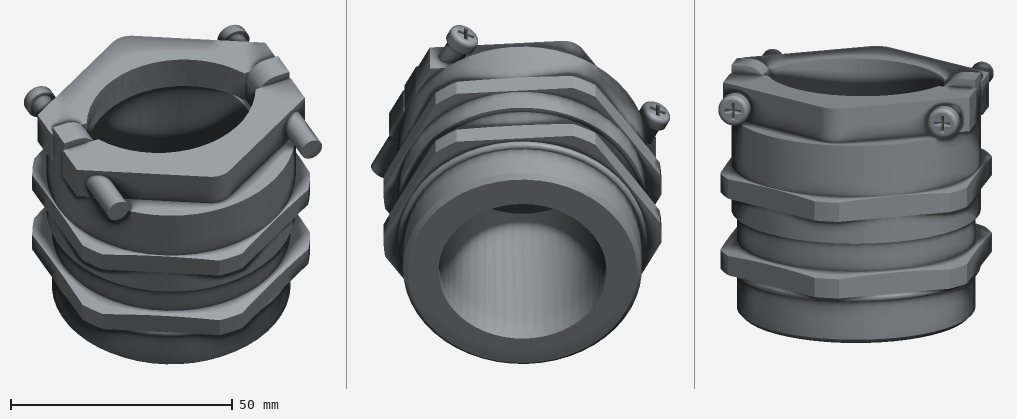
import cadquery as cq
import math

bore_radius = 19.0
lower_radius = 27.0
upper_radius = 28.2
bottom_chamfer = 1.1
upper_start_z = 24.0
sleeve_top_z = 47.0

collar_flats = 57.0
collar_corner_radius = 31.4
collar_side_height = 4.5
collar_chamfer_angle = 8.5
lower_collar_z = 12.0
upper_collar_z = 30.0

ring_section_radius = 1.0

clamp_height = 8.0
clamp_depth = collar_flats
clamp_end_half_width = 10.35
clamp_side_angle = 60.0
clamp_corner_fillet = 5.0
opening_half_width = 15.2
opening_arc_radius = 22.0

tab_width = 6.0
tab_rise = 2.0
tab_inner_y = 20.0
tab_outer_y = upper_radius
tab_round = 5.0

screw_y = 24.2
screw_height_on_clamp = 4.1
screw_z = sleeve_top_z + screw_height_on_clamp
screw_radius = 2.6
screw_end_x = 23.0
head_start_x = -20.0
head_thickness = 3.0
head_radius = 3.5
head_fillet = 1.0
recess_length = 4.0
recess_width = 1.0
recess_depth = 1.6
recess_taper = 14.0


def make_sleeve():
    lower = cq.Workplane("XY").circle(lower_radius).extrude(upper_start_z)
    lower = lower.faces("<Z").chamfer(bottom_chamfer)
    upper = (
        cq.Workplane("XY", origin=(0, 0, upper_start_z))
        .circle(upper_radius)
        .extrude(sleeve_top_z - upper_start_z)
    )
    return lower.union(upper)


def make_collar(base_z, sleeve_radius):
    """Hexagon trimmed by a disc whose shallow conical top rises to the sleeve wall."""
    rise = (collar_corner_radius - sleeve_radius) * math.tan(math.radians(collar_chamfer_angle))
    top = collar_side_height + rise
    across_corners = collar_flats / math.cos(math.pi / 6)
    hexagon = cq.Workplane("XY").polygon(6, across_corners).extrude(top)
    envelope = (
        cq.Workplane("XZ")
        .moveTo(0, 0)
        .lineTo(collar_corner_radius, 0)
        .lineTo(collar_corner_radius, collar_side_height)
        .lineTo(sleeve_radius, top)
        .lineTo(0, top)
        .close()
        .revolve(360, (0, 0, 0), (0, 1, 0))
    )
    return hexagon.intersect(envelope).translate((0, 0, base_z))


def make_sealing_ring():
    """Ring whose half-round profile bulges out beyond the lower sleeve."""
    inner_radius = upper_radius - ring_section_radius
    bottom_z = lower_collar_z - 2 * ring_section_radius
    return (
        cq.Workplane("XZ")
        .moveTo(bore_radius, bottom_z)
        .lineTo(inner_radius, bottom_z)
        .threePointArc((upper_radius, bottom_z + ring_section_radius), (inner_radius, lower_collar_z))
        .lineTo(bore_radius, lower_collar_z)
        .close()
        .revolve(360, (0, 0, 0), (0, 1, 0))
    )


def make_clamp():
    half_depth = clamp_depth / 2
    point_x = clamp_end_half_width + half_depth / math.tan(math.radians(clamp_side_angle))
    corners = [
        (point_x, 0),
        (clamp_end_half_width, half_depth),
        (-clamp_end_half_width, half_depth),
        (-point_x, 0),
        (-clamp_end_half_width, -half_depth),
        (clamp_end_half_width, -half_depth),
    ]
    clamp = cq.Workplane("XY").polyline(corners).close().extrude(clamp_height)
    clamp = clamp.edges("|Z and (>X or <X)").fillet(clamp_corner_fillet)

    gap = cq.Workplane("XY").rect(tab_width, clamp_depth).extrude(clamp_height)
    clamp = clamp.cut(make_opening()).cut(gap)
    return clamp.translate((0, 0, sleeve_top_z))


def make_opening():
    """Two equal arcs, one per jaw, meeting in points on the Y axis."""
    arc_offset = opening_arc_radius - opening_half_width
    tip_y = math.sqrt(opening_arc_radius**2 - arc_offset**2)
    return (
        cq.Workplane("XY")
        .moveTo(0, -tip_y)
        .threePointArc((opening_half_width, 0), (0, tip_y))
        .threePointArc((-opening_half_width, 0), (0, -tip_y))
        .close()
        .extrude(clamp_height)
    )


def make_tab():
    """Tab on the +Y side, its inner top edge rounded."""
    length = tab_outer_y - tab_inner_y
    tab = cq.Workplane("XY").box(tab_width, length, clamp_height + tab_rise, centered=(True, False, False))
    tab = tab.edges(">Z and <Y").fillet(tab_round)
    return tab.translate((0, tab_inner_y, sleeve_top_z))


def make_screw(side):
    axis_start = (head_start_x, side * screw_y, screw_z)
    plane = cq.Workplane("YZ", origin=axis_start)
    head = plane.circle(head_radius).extrude(head_thickness)
    head = head.faces("<X").edges().fillet(head_fillet)
    shank = plane.circle(screw_radius).extrude(screw_end_x - head_start_x)
    screw = head.union(shank)
    for length, width in ((recess_length, recess_width), (recess_width, recess_length)):
        screw = screw.cut(plane.rect(length, width).extrude(recess_depth, taper=recess_taper))
    return screw


bore = cq.Workplane("XY").circle(bore_radius).extrude(sleeve_top_z)
tab = make_tab()

result = (
    make_sleeve()
    .union(make_collar(lower_collar_z, lower_radius))
    .union(make_collar(upper_collar_z, upper_radius))
    .union(make_sealing_ring())
    .cut(bore)
    .union(make_clamp())
    .union(tab)
    .union(tab.mirror("XZ"))
)
for side in (1, -1):
    result = result.union(make_screw(side))